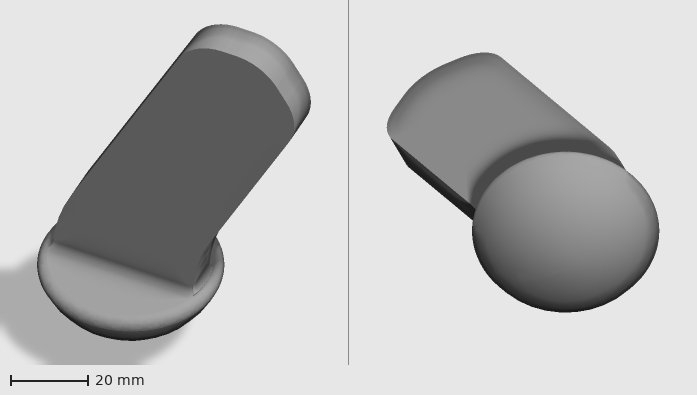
import cadquery as cq
import math

sphere_radius = 25.7
knob_height = 20.0
rim_fillet = 2.5

total_height = 110
handle_width = 40.0
handle_thickness = 10.0
handle_slope = 0.5
bend_height = total_height - handle_width / handle_slope
bend_radius = 50.0
tip_radius = 14.0
tip_flat_length = handle_width / 2
tip_corner_height = 92.6
base_fillet = 2.0

half_width = handle_width / 2
rim_centre_height = knob_height - rim_fillet
rim_centre_drop = sphere_radius - rim_centre_height
flat_radius = math.sqrt((sphere_radius - rim_fillet) ** 2 - rim_centre_drop**2)


def make_knob():
    """Spherical cap with a flat top and a rounded rim."""
    ball = cq.Workplane("XY").sphere(sphere_radius).translate((0, 0, sphere_radius))
    keep = cq.Workplane("XY").circle(sphere_radius).extrude(knob_height)
    return ball.intersect(keep).faces(">Z").edges().fillet(rim_fillet)


def leaning_edge_x(start_x, z):
    """X of a leaning handle edge that leaves the bend corner at start_x."""
    return start_x + handle_slope * (z - bend_height)


def make_handle():
    """Upright plate, rooted inside the knob, that bends to a lean toward +X and ends in a rounded tip."""
    left_tip_x = leaning_edge_x(-half_width, total_height)
    bend_corners = [(-half_width, bend_height), (half_width, bend_height)]
    tip_corners = [
        (left_tip_x, total_height),
        (left_tip_x + tip_flat_length, total_height),
        (leaning_edge_x(half_width, tip_corner_height), tip_corner_height),
    ]
    outline = [
        (-half_width, rim_centre_height),
        bend_corners[0],
        *tip_corners,
        bend_corners[1],
        (half_width, rim_centre_height),
    ]
    plate = cq.Workplane("XZ").polyline(outline).close().extrude(handle_thickness / 2, both=True)
    for corners, radius in ((bend_corners, bend_radius), (tip_corners, tip_radius)):
        for x, z in corners:
            corner_edge = cq.selectors.NearestToPointSelector((x, 0, z))
            plate = plate.edges("|Y").edges(corner_edge).fillet(radius)
    return plate


def make_flared_handle():
    """Handle with a fillet around its base, trimmed to the flat top of the knob."""
    pad_plane = cq.Workplane("XY").workplane(offset=rim_centre_height)
    pad = pad_plane.circle(sphere_radius).extrude(rim_fillet)
    body = pad.union(make_handle())
    margin = base_fillet / 2
    junction = cq.selectors.BoxSelector(
        (-half_width - margin, -handle_thickness / 2 - margin, knob_height - margin),
        (half_width + margin, handle_thickness / 2 + margin, knob_height + margin),
    )
    body = body.edges("%LINE").edges(junction).fillet(base_fillet)

    trim_ring = pad_plane.circle(2 * sphere_radius).circle(flat_radius)
    return body.cut(trim_ring.extrude(rim_fillet + base_fillet))


result = make_knob().union(make_flared_handle())